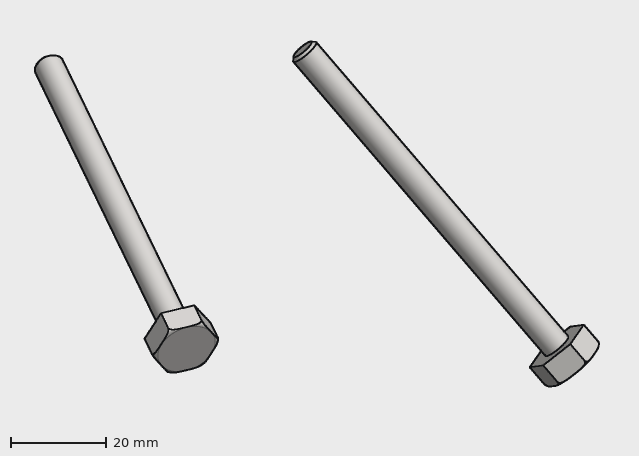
import cadquery as cq
import math

total_length = 89.7
head_height = 5.65
across_flats = 12.7
shank_diameter = 6.4
tip_chamfer = 0.7

shank_length = total_length - head_height
flat_radius = across_flats / 2
corner_radius = flat_radius / math.cos(math.radians(30))
crown_radius = corner_radius - flat_radius


def make_shank():
    """Round shank with a chamfered tip at X = 0."""
    shank = cq.Workplane("YZ").circle(shank_diameter / 2).extrude(shank_length)
    return shank.faces("<X").chamfer(tip_chamfer)


def make_head():
    """Hexagon with two corners on the Y axis, its end corners rounded off about X."""
    head_start = cq.Workplane("YZ", origin=(shank_length, 0, 0))
    hexagon = head_start.polygon(6, 2 * corner_radius).extrude(head_height)
    envelope = head_start.circle(corner_radius).extrude(head_height)
    envelope = envelope.faces(">X").edges().fillet(crown_radius)
    return hexagon.intersect(envelope)


result = make_shank().union(make_head())